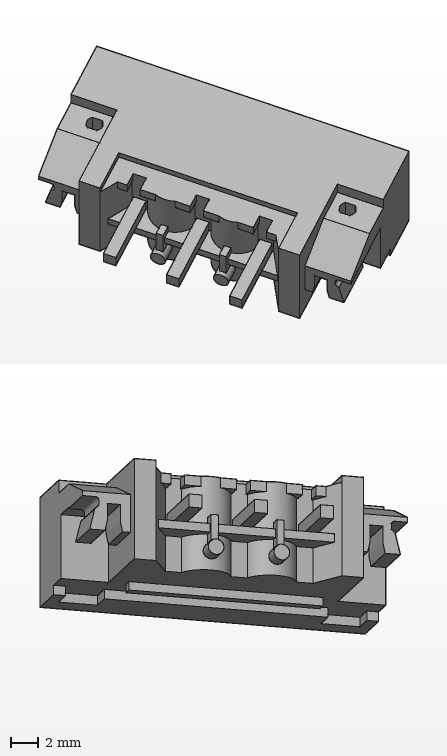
import cadquery as cq
import math


PIN_PITCH = 5.05
PIN_SIZE = 1.0
PIN_BOTTOM = 4.1
PIN_TIP_DEPTH = 15.2
PIN_POSITIONS = [-PIN_PITCH, 0, PIN_PITCH]
BETWEEN_PINS = [-PIN_PITCH / 2, PIN_PITCH / 2]

LENGTH = 25.05
HEIGHT = 8.45
UNDERSIDE = 0.73
CHEEK_OUTER = 8.85
CHEEK_INNER = 7.15
CHEEK_DEPTH = 12.05

WALL_DEPTH = 9.5
WALL_HALF = 5.68
LEDGE_DEPTH = 10.65
LEDGE_BOTTOM = 7.14
LEDGE_TOP = 7.91
LEDGE_BACK_DEPTH = 8.5
NOTCH_CLEARANCE = 0.03
NOTCH_HALF = PIN_SIZE / 2 + NOTCH_CLEARANCE

RIB_RADIUS = 2.03
RIB_DEPTH = 10.8
SHELF_THICKNESS = 0.65
SHELF_DEPTH = 11.4
POST_WIDTH = 0.55
POST_TOP = 4.73
POST_DEPTH = 11.7
PEG_RADIUS = 0.6
PEG_HEIGHT = 2.18

FOOT_DEPTH = 3.55
FOOT_RECESS_OUTER = 11.62
FOOT_RECESS_INNER = 8.61
FOOT_RECESS_LENGTH = FOOT_DEPTH / 2
BAR_HALF = 7.45
BAR_START = 5.3
BAR_WIDTH = 0.78
BAR_BOTTOM = 0.08

ARM_NOTCH_DEPTH = 4.88
ARM_TOP = 7.44
ARM_SLOPE_DEPTH = 7.49
ARM_TIP_DEPTH = 11.05
ARM_TIP_TOP = 5.93
ARM_ROOT_DEPTH = 5.43
ARM_BOTTOM = 5.63
HOOK_START = 7.39
HOOK_BOTTOM = 3.03
HOOK_CEILING = 5.55
HOOK_NECK_X = 11.27
HOOK_NECK_RADIUS = 0.3
HOOK_NECK_BOTTOM = 4.93
HOOK_SHOULDER_X = 11.57
HOOK_SHOULDER = 4.65
HOOK_TOE_X = 11.97
SLOT_OUTER = 10.62
SLOT_INNER = 9.62
SLOT_TOP = 5.1
SLOT_FLARE = 0.18
SLOT_FLARE_TOP = 3.8

HOLE_X = 10.15
HOLE_DEPTH = 6.0
HOLE_RADIUS = 0.63
HOLE_FLAT_HALF = 0.5


def block(x_from, x_to, depth_from, depth_to, z_from, z_to):
    """Box between two X positions, two depths and two heights."""
    size = (x_to - x_from, depth_to - depth_from, z_to - z_from)
    return cq.Workplane("XY").box(*size, centered=False).translate((x_from, -depth_to, z_from))


def both_ends(shape):
    """The shape together with its mirror image in the middle plane."""
    return shape.union(shape.mirror("YZ"))


def make_body():
    """Block with two cheeks reaching forward and free corners for the latch arms."""
    core = block(-CHEEK_OUTER, CHEEK_OUTER, 0, CHEEK_DEPTH, UNDERSIDE, HEIGHT)
    ends = block(-LENGTH / 2, LENGTH / 2, 0, ARM_ROOT_DEPTH, UNDERSIDE, HEIGHT)
    step = both_ends(block(CHEEK_OUTER, LENGTH / 2, ARM_NOTCH_DEPTH, ARM_ROOT_DEPTH, ARM_TOP, HEIGHT))
    return core.union(ends).cut(step)


def make_recess():
    """Room between the cheeks: tapered side walls, and a ledge left standing near the top."""
    room = (
        cq.Workplane("XY")
        .workplane(offset=UNDERSIDE)
        .polyline([
            (-CHEEK_INNER, -CHEEK_DEPTH),
            (-WALL_HALF, -WALL_DEPTH),
            (WALL_HALF, -WALL_DEPTH),
            (CHEEK_INNER, -CHEEK_DEPTH),
        ])
        .close()
        .extrude(HEIGHT - UNDERSIDE)
    )
    ledge = block(-CHEEK_INNER, CHEEK_INNER, WALL_DEPTH, LEDGE_DEPTH, LEDGE_BOTTOM, LEDGE_TOP)
    for x in PIN_POSITIONS:
        notch = block(x - NOTCH_HALF, x + NOTCH_HALF, WALL_DEPTH, LEDGE_DEPTH, LEDGE_BOTTOM, LEDGE_TOP)
        ledge = ledge.cut(notch)
    step = block(-CHEEK_INNER, CHEEK_INNER, LEDGE_BACK_DEPTH, CHEEK_DEPTH, LEDGE_TOP, HEIGHT)
    return room.cut(ledge).union(step)


def make_shelf():
    """Shelf under the pins, running from one tapered side wall to the other."""
    taper = (CHEEK_INNER - WALL_HALF) / (CHEEK_DEPTH - WALL_DEPTH)
    front_half = WALL_HALF + taper * (SHELF_DEPTH - WALL_DEPTH)
    return (
        cq.Workplane("XY")
        .workplane(offset=PIN_BOTTOM - SHELF_THICKNESS)
        .polyline([
            (-WALL_HALF, -WALL_DEPTH),
            (WALL_HALF, -WALL_DEPTH),
            (front_half, -SHELF_DEPTH),
            (-front_half, -SHELF_DEPTH),
        ])
        .close()
        .extrude(SHELF_THICKNESS)
    )


def make_rib(x):
    """Upright round rib between two pins, with its post and its forward peg."""
    axis_depth = RIB_DEPTH - RIB_RADIUS
    rib = (
        cq.Workplane("XY")
        .workplane(offset=UNDERSIDE)
        .center(x, -axis_depth)
        .circle(RIB_RADIUS)
        .extrude(LEDGE_TOP - UNDERSIDE)
    )
    post = block(x - POST_WIDTH / 2, x + POST_WIDTH / 2, axis_depth, POST_DEPTH, PEG_HEIGHT, POST_TOP)
    peg = (
        cq.Workplane("XZ", origin=(x, -axis_depth, PEG_HEIGHT))
        .circle(PEG_RADIUS)
        .extrude(CHEEK_DEPTH - axis_depth)
    )
    return rib.union(post).union(peg)


def make_underside():
    """Foot plate along the back, recessed near both ends, and the key bar in front of it."""
    plate = block(-LENGTH / 2, LENGTH / 2, 0, FOOT_DEPTH, 0, UNDERSIDE)
    recess = block(
        FOOT_RECESS_INNER, FOOT_RECESS_OUTER, FOOT_DEPTH - FOOT_RECESS_LENGTH, FOOT_DEPTH, 0, UNDERSIDE
    )
    bar = block(-BAR_HALF, BAR_HALF, BAR_START, BAR_START + BAR_WIDTH, BAR_BOTTOM, UNDERSIDE)
    return plate.cut(both_ends(recess)).union(bar)


def make_arm_roof():
    """Roof of the +X latch arm, sloping down to its tip."""
    return (
        cq.Workplane("YZ", origin=(CHEEK_OUTER, 0, 0))
        .polyline([
            (-ARM_ROOT_DEPTH, ARM_BOTTOM),
            (-ARM_ROOT_DEPTH, ARM_TOP),
            (-ARM_SLOPE_DEPTH, ARM_TOP),
            (-ARM_TIP_DEPTH, ARM_TIP_TOP),
            (-ARM_TIP_DEPTH, ARM_BOTTOM),
        ])
        .close()
        .extrude(LENGTH / 2 - CHEEK_OUTER)
    )


def make_hook():
    """Hook hanging below the +X arm, split from the cheek side by a flared slot."""
    bend = HOOK_NECK_RADIUS * math.sqrt(0.5)
    bend_x = HOOK_NECK_X + HOOK_NECK_RADIUS
    bend_z = HOOK_CEILING - HOOK_NECK_RADIUS
    return (
        cq.Workplane("XZ", origin=(0, -HOOK_START, 0))
        .moveTo(CHEEK_OUTER, HOOK_BOTTOM)
        .lineTo(SLOT_INNER - SLOT_FLARE, HOOK_BOTTOM)
        .lineTo(SLOT_INNER, SLOT_FLARE_TOP)
        .lineTo(SLOT_INNER, SLOT_TOP)
        .lineTo(SLOT_OUTER, SLOT_TOP)
        .lineTo(SLOT_OUTER, SLOT_FLARE_TOP)
        .lineTo(SLOT_OUTER + SLOT_FLARE, HOOK_BOTTOM)
        .lineTo(HOOK_TOE_X, HOOK_BOTTOM)
        .lineTo(HOOK_SHOULDER_X, HOOK_SHOULDER)
        .lineTo(HOOK_NECK_X, HOOK_NECK_BOTTOM)
        .lineTo(HOOK_NECK_X, bend_z)
        .threePointArc((bend_x - bend, bend_z + bend), (bend_x, HOOK_CEILING))
        .lineTo(LENGTH / 2, HOOK_CEILING)
        .lineTo(LENGTH / 2, ARM_BOTTOM)
        .lineTo(CHEEK_OUTER, ARM_BOTTOM)
        .close()
        .extrude(ARM_TIP_DEPTH - HOOK_START)
    )


def make_arm_hole():
    """Upright through hole of the +X arm, flattened at its front and back."""
    flats = block(
        HOLE_X - HOLE_RADIUS, HOLE_X + HOLE_RADIUS,
        HOLE_DEPTH - HOLE_FLAT_HALF, HOLE_DEPTH + HOLE_FLAT_HALF,
        ARM_BOTTOM, ARM_TOP,
    )
    bore = (
        cq.Workplane("XY")
        .workplane(offset=ARM_BOTTOM)
        .center(HOLE_X, -HOLE_DEPTH)
        .circle(HOLE_RADIUS)
        .extrude(ARM_TOP - ARM_BOTTOM)
    )
    return bore.intersect(flats)


def make_housing():
    """The complete moulded housing as one solid."""
    housing = make_body().cut(make_recess()).union(make_shelf())
    for x in BETWEEN_PINS:
        housing = housing.union(make_rib(x))
    arm = make_arm_roof().union(make_hook())
    housing = housing.union(make_underside()).union(both_ends(arm))
    return housing.cut(both_ends(make_arm_hole())).solids().val()


def make_pin(x):
    """Square pin resting on the shelf and running forward from the front wall."""
    return block(
        x - PIN_SIZE / 2, x + PIN_SIZE / 2, WALL_DEPTH, PIN_TIP_DEPTH, PIN_BOTTOM, PIN_BOTTOM + PIN_SIZE
    )


housing = make_housing()
pins = [make_pin(x).val() for x in PIN_POSITIONS]

result = cq.Compound.makeCompound([housing, *pins])